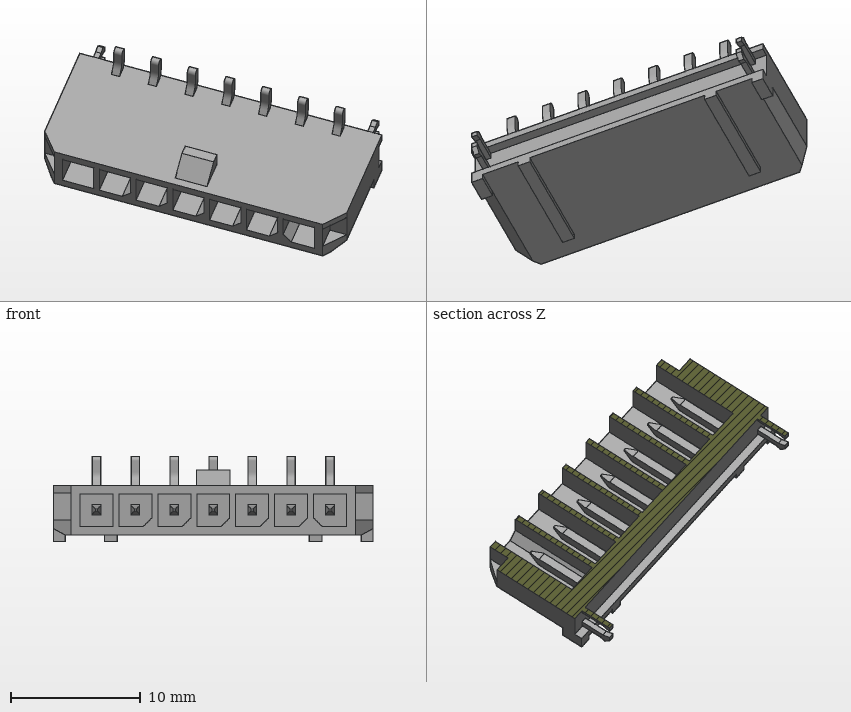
import cadquery as cq
import math


length = 24.65
depth = 9.9
height = 3.85
corner_x = 1.38
corner_y = 1.7
corner_pocket_bottom = 1.18
corner_pocket_height = 2.07

side_chamfer_x = 0.94
side_chamfer_z = 0.52
foot_drop = 0.5
rear_foot_depth = 1.85

rib_x = 7.88
rib_width = 0.99
rib_front_y = 1.63

notch_depth = 0.67
notch_bottom = 0.67
notch_height = 2.51

contact_count = 7
contact_row_length = 17.99
contact_pitch = contact_row_length / (contact_count - 1)
contact_axis_z = height - 1.9
contact_size = 0.67

cavity_width = 2.55
cavity_height = 2.51
cavity_top_wall = 0.67
cavity_bottom = height - cavity_top_wall - cavity_height
cavity_depth = 7.4
cavity_key = 0.67
pin_tip_y = 2.46
pin_tip_size = 0.17
pin_taper_length = 0.89
pin_shaft_height = 0.81
pin_shoulder_length = 0.17

leg_height = 2.22
leg_bend_start = 0.95
leg_inner_radius = 0.94
leg_bend_angle = 40.0
leg_buried_length = 0.75

latch_width = 2.59
latch_height = 1.18
latch_toe_y = 0.62
latch_crest_y = 2.2
latch_rear_y = 2.95

peg_width = 0.45
peg_x = length / 2 - 1.13
peg_reach = 2.0
peg_outer_offset = 1.15
peg_thickness = 0.52
peg_barb_height = 0.17
peg_barb_length = 0.45
peg_barb_back_length = 0.89
peg_tip_inner_offset = 0.42
peg_tip_outer_offset = 0.89
peg_hook_length = 0.65

contact_positions = [
    (index - (contact_count - 1) / 2) * contact_pitch for index in range(contact_count)
]


def box(x_min, y_min, z_min, x_size, y_size, z_size):
    return cq.Workplane("XY").box(x_size, y_size, z_size, centered=False).translate((x_min, y_min, z_min))


def side_profile(center_x, width):
    """Sketch plane in Y and Z whose extrusion by `width` is centred on center_x."""
    return cq.Workplane("YZ", origin=(center_x - width / 2, 0, 0))


def make_housing():
    half = length / 2
    body = (
        cq.Workplane("XY")
        .moveTo(-half + corner_x, 0)
        .lineTo(half - corner_x, 0)
        .lineTo(half, corner_y)
        .lineTo(half, depth)
        .lineTo(-half, depth)
        .lineTo(-half, corner_y)
        .close()
        .extrude(height)
    )
    edge_wedge = (
        cq.Workplane("XZ")
        .polyline([(half, 0), (half, side_chamfer_z), (half - side_chamfer_x, 0)])
        .close()
        .extrude(-(depth - rear_foot_depth))
    )
    pocket = box(half - corner_x, 0, corner_pocket_bottom, corner_x, corner_y, corner_pocket_height)
    for cutter in (edge_wedge, pocket):
        body = body.cut(cutter).cut(cutter.mirror("YZ"))
    return body.cut(box(-half, depth - notch_depth, notch_bottom, length, notch_depth, notch_height))


def make_underside():
    foot = box(
        length / 2 - side_chamfer_x, depth - rear_foot_depth, -foot_drop,
        side_chamfer_x, rear_foot_depth, foot_drop,
    )
    rib = box(rib_x - rib_width / 2, rib_front_y, -foot_drop, rib_width, depth - rib_front_y, foot_drop)
    right_side = foot.add(rib).combine()
    return right_side.add(right_side.mirror("YZ")).combine()


def make_cavity(index):
    """The end cavity at -X is square, the next ones are keyed at +X and the last one at -X."""
    cavity = box(
        contact_positions[index] - cavity_width / 2, 0, cavity_bottom,
        cavity_width, cavity_depth, cavity_height,
    )
    if index == 0:
        return cavity
    key_side = "<X" if index == contact_count - 1 else ">X"
    return cavity.edges("|Y").edges("<Z").edges(key_side).chamfer(cavity_key)


def frustum(center_x, front_y, front_size, back_y, back_size):
    """Straight or tapered bar along Y between two rectangles on the contact axis."""
    return (
        cq.Workplane("XZ", origin=(center_x, back_y, contact_axis_z))
        .rect(*back_size)
        .workplane(offset=back_y - front_y)
        .rect(*front_size)
        .loft()
    )


def make_pin(center_x):
    """Shaft, sloped shoulder on its upper and lower sides, then a blunt pyramid point."""
    shoulder_y = pin_tip_y + pin_taper_length
    shaft_y = shoulder_y + pin_shoulder_length
    tip = (pin_tip_size, pin_tip_size)
    neck = (contact_size, contact_size)
    shaft = (contact_size, pin_shaft_height)
    return (
        frustum(center_x, pin_tip_y, tip, shoulder_y, neck)
        .union(frustum(center_x, shoulder_y, neck, shaft_y, shaft))
        .union(frustum(center_x, shaft_y, shaft, cavity_depth, shaft))
    )


def make_leg(center_x):
    """Upright leg with a round top, bent forward about an axis along X into the top face."""
    bend_z = height + leg_bend_start
    outer_radius = leg_inner_radius + contact_size
    bend_y = depth - outer_radius

    def on_bend(radius, degrees):
        angle = math.radians(degrees)
        return (bend_y + radius * math.cos(angle), bend_z - radius * math.sin(angle))

    def buried(point):
        angle = math.radians(leg_bend_angle)
        return (
            point[0] - leg_buried_length * math.sin(angle),
            point[1] - leg_buried_length * math.cos(angle),
        )

    outer_end = on_bend(outer_radius, leg_bend_angle)
    inner_end = on_bend(leg_inner_radius, leg_bend_angle)
    front_y = depth - contact_size
    top_z = height + leg_height
    round_z = top_z - contact_size / 2
    return (
        side_profile(center_x, contact_size)
        .moveTo(depth, bend_z)
        .threePointArc(on_bend(outer_radius, leg_bend_angle / 2), outer_end)
        .lineTo(*buried(outer_end))
        .lineTo(*buried(inner_end))
        .lineTo(*inner_end)
        .threePointArc(on_bend(leg_inner_radius, leg_bend_angle / 2), (front_y, bend_z))
        .lineTo(front_y, round_z)
        .threePointArc((depth - contact_size / 2, top_z), (depth, round_z))
        .close()
        .extrude(contact_size)
    )


def make_latch():
    return (
        side_profile(0, latch_width)
        .moveTo(latch_toe_y, height)
        .lineTo(latch_crest_y, height + latch_height)
        .lineTo(latch_rear_y, height + latch_height)
        .lineTo(latch_rear_y, height)
        .close()
        .extrude(latch_width)
    )


def make_peg(center_x, direction):
    """One barbed prong; direction is +1 above the contact axis and -1 below it."""
    root_y = depth - notch_depth
    tip_y = depth + peg_reach
    inner_offset = peg_outer_offset - peg_thickness
    profile = [
        (root_y, inner_offset),
        (root_y, peg_outer_offset),
        (tip_y - peg_barb_back_length, peg_outer_offset),
        (tip_y - peg_barb_length, peg_outer_offset + peg_barb_height),
        (tip_y, peg_tip_outer_offset),
        (tip_y, peg_tip_inner_offset),
        (tip_y - peg_hook_length, inner_offset),
    ]
    return (
        side_profile(center_x, peg_width)
        .polyline([(y, contact_axis_z + direction * offset) for y, offset in profile])
        .close()
        .extrude(peg_width)
    )


result = make_housing().union(make_underside())

for index, x in enumerate(contact_positions):
    result = result.cut(make_cavity(index)).union(make_pin(x)).union(make_leg(x))

result = result.union(make_latch())

for x in (-peg_x, peg_x):
    for direction in (1, -1):
        result = result.union(make_peg(x, direction))